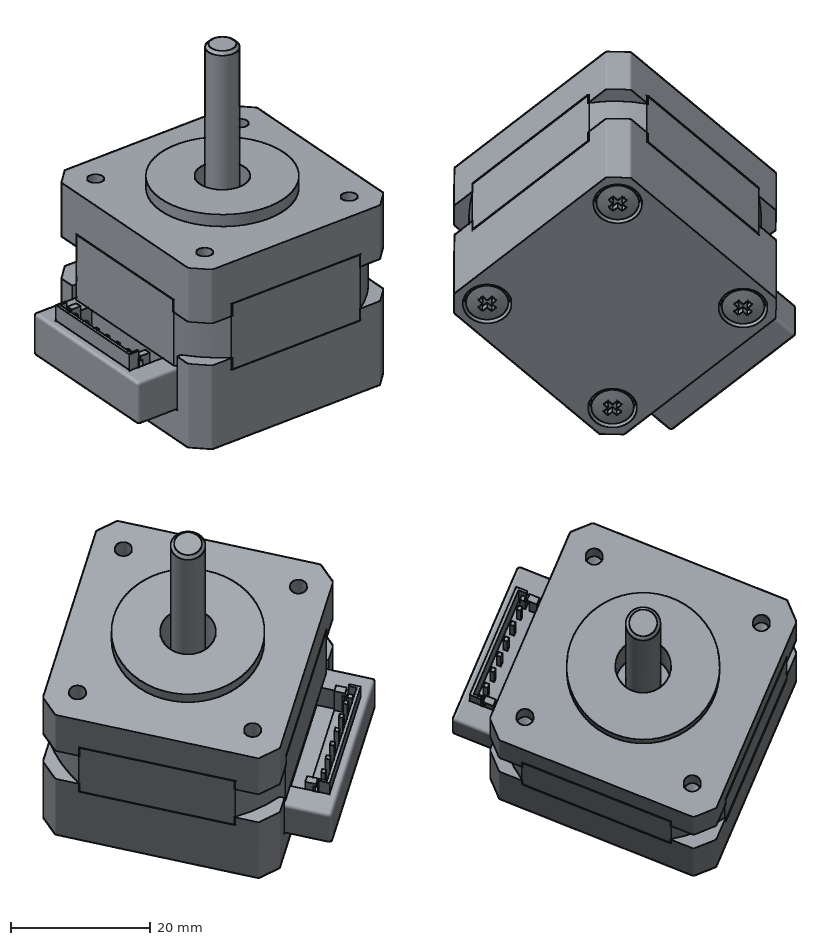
import cadquery as cq
import math


cap_side = 35.2
cap_corner_chamfer = 2.5
cap_edge_radius = 0.5
motor_length = 30.0
stator_side = 35.0
stator_diameter = 42.0
stator_bottom = 12.0
stator_top = 23.0
socket_depth = 2.0
rear_cap_top = stator_bottom + socket_depth
front_cap_bottom = stator_top - socket_depth

boss_diameter = 22.0
boss_height = 2.0
boss_bore = 8.0
boss_top = motor_length + boss_height
shaft_diameter = 5.0
shaft_chamfer = 0.5
shaft_top = 54.0

hole_spacing = 26.0
mounting_hole_diameter = 2.46
mounting_hole_depth = 4.0
drill_point_angle = 118.0
screw_diameter = 3.0
screw_clearance = 3.4
screw_end = 24.5
head_diameter = 6.1
counterbore_diameter = 7.0
counterbore_depth = 2.5
dome_radius = 14.0
head_protrusion = 0.04
cross_span = 2.75
cross_width = 0.9
cross_depth = 1.2

cap_face_y = -cap_side / 2
shroud_width = 25.0
shroud_depth = 7.0
shroud_height = 7.0
shroud_top = stator_bottom
shroud_bottom = shroud_top - shroud_height
shroud_edge_radius = 0.5
shroud_inset = 0.8
shroud_back_y = cap_face_y + shroud_inset

header_width = 17.5
header_back_y = cap_face_y - 2.1
header_front_y = cap_face_y - 5.75
header_bottom = 7.4
header_base_top = 8.8
header_top = 14.6
front_wall = 0.5
side_wall = 0.35
side_wall_back_y = cap_face_y - 4.05
pocket_side_gap = 0.15
ear_width = 1.05
ear_depth = 1.6
ear_top = 13.6
bridge_inset = 0.15
bridge_top = 13.3
ear_slot_width = 0.6
ear_slot_top = 12.8
slot_front_gap = 0.15
post_depth = 0.7
post_top = 12.65
pin_count = 6
pin_pitch = 2.5
pin_side = 0.64
pin_y = cap_face_y - 4.2
pin_top = 13.6


def box(x_range, y_range, z_range):
    """Axis-aligned box between the given limits."""
    size = [high - low for low, high in (x_range, y_range, z_range)]
    corner = (x_range[0], y_range[0], z_range[0])
    return cq.Workplane("XY").box(*size, centered=False).translate(corner)


def cylinder(diameter, bottom, top):
    """Cylinder on the motor axis."""
    return cq.Workplane("XY").workplane(offset=bottom).circle(diameter / 2).extrude(top - bottom)


def at_screws(body):
    """One copy of a body made on the motor axis at each of the four screw positions."""
    half = hole_spacing / 2
    return [body.translate((x, y, 0)) for x in (-half, half) for y in (-half, half)]


def cut_at_screws(body, tool):
    for copy in at_screws(tool):
        body = body.cut(copy)
    return body


def cap_block(bottom, top):
    """Square block with chamfered corners whose edges are rounded."""
    block = cq.Workplane("XY").workplane(offset=bottom).rect(cap_side, cap_side).extrude(top - bottom)
    block = block.edges("|Z").chamfer(cap_corner_chamfer)
    return block.edges("|Z").fillet(cap_edge_radius)


def make_front_cap():
    cap = cap_block(front_cap_bottom, motor_length)
    cap = cap.union(cylinder(boss_diameter, motor_length, boss_top))
    cap = cap.cut(cylinder(stator_diameter, front_cap_bottom, stator_top))
    cap = cap.cut(cylinder(boss_bore, stator_top, boss_top))
    hole_radius = mounting_hole_diameter / 2
    hole_bottom = motor_length - mounting_hole_depth
    hole_tip = hole_bottom - hole_radius / math.tan(math.radians(drill_point_angle / 2))
    hole = (
        cq.Workplane("XZ")
        .moveTo(0, motor_length)
        .lineTo(hole_radius, motor_length)
        .lineTo(hole_radius, hole_bottom)
        .lineTo(0, hole_tip)
        .close()
        .revolve(360, (0, 0, 0), (0, 1, 0))
    )
    cap = cut_at_screws(cap, hole)
    return cut_at_screws(cap, cylinder(screw_diameter, stator_top, screw_end))


def make_stator():
    height = stator_top - stator_bottom
    stator = cq.Workplane("XY").workplane(offset=stator_bottom).rect(stator_side, stator_side).extrude(height)
    stator = stator.intersect(cylinder(stator_diameter, stator_bottom, stator_top))
    stator = stator.cut(cylinder(shaft_diameter, stator_bottom, stator_top))
    return cut_at_screws(stator, cylinder(screw_clearance, stator_bottom, stator_top))


def make_rear_cap():
    cap = cap_block(0, rear_cap_top)
    cap = cap.cut(cylinder(stator_diameter, stator_bottom, rear_cap_top))
    notch_x = (-shroud_width / 2, shroud_width / 2)
    cap = cap.cut(box(notch_x, (cap_face_y, shroud_back_y), (shroud_bottom, rear_cap_top)))
    cap = cut_at_screws(cap, cylinder(screw_clearance, 0, stator_bottom))
    return cut_at_screws(cap, cylinder(counterbore_diameter, 0, counterbore_depth))


def make_shaft():
    return cylinder(shaft_diameter, stator_bottom, shaft_top).faces(">Z").chamfer(shaft_chamfer)


def make_screw():
    """Screw on the motor axis with a domed head and a cross recess, pointing up."""
    corner_radius = math.hypot(cross_width / 2, cross_width / 2)
    dome_center = math.sqrt(dome_radius**2 - corner_radius**2) - head_protrusion
    dome_bottom = dome_center - dome_radius
    head = cylinder(head_diameter, dome_bottom, counterbore_depth)
    head = head.intersect(cq.Workplane("XY").sphere(dome_radius).translate((0, 0, dome_center)))
    recess = cq.Workplane("XY").workplane(offset=dome_bottom).rect(cross_span, cross_width).extrude(cross_depth)
    head = head.cut(recess).cut(recess.rotate((0, 0, 0), (0, 0, 1), 90))
    return head.union(cylinder(screw_diameter, counterbore_depth, screw_end))


def make_shroud():
    front_y = cap_face_y - shroud_depth
    shroud_x = (-shroud_width / 2, shroud_width / 2)
    shroud = box(shroud_x, (front_y, shroud_back_y), (shroud_bottom, shroud_top))
    shroud = shroud.edges("not(>Y)").fillet(shroud_edge_radius)
    half_pocket = header_width / 2 + pocket_side_gap
    pocket_x = (-half_pocket, half_pocket)
    return shroud.cut(box(pocket_x, (header_front_y, shroud_back_y), (header_bottom, shroud_top)))


def make_header():
    half = header_width / 2
    header = box((-half, half), (header_front_y, header_back_y), (header_bottom, header_base_top))
    wall_z = (header_base_top, header_top)
    header = header.union(box((-half, half), (header_front_y, header_front_y + front_wall), wall_z))

    ear_x = (-half, -half + ear_width)
    ear_front_y = header_back_y - ear_depth
    wall = box((-half, -half + side_wall), (header_front_y, side_wall_back_y), wall_z)
    ear = box(ear_x, (ear_front_y, header_back_y), (header_base_top, ear_top))
    inner_x = (-half + bridge_inset, -half + ear_width)
    bridge = box(inner_x, (side_wall_back_y, ear_front_y), (header_base_top, bridge_top))
    post = box(inner_x, (side_wall_back_y - post_depth, side_wall_back_y), (header_base_top, post_top))
    end = wall.union(ear).union(bridge).union(post)
    slot_y = (side_wall_back_y + slot_front_gap, side_wall_back_y + slot_front_gap + ear_slot_width)
    end = end.cut(box(ear_x, slot_y, (header_base_top, ear_slot_top)))
    header = header.union(end).union(end.mirror("YZ"))

    for index in range(pin_count):
        pin_x = (index - (pin_count - 1) / 2) * pin_pitch
        pin = cq.Workplane("XY").rect(pin_side, pin_side).extrude(pin_top - header_base_top)
        header = header.union(pin.translate((pin_x, pin_y, header_base_top)))
    return header


front_cap = make_front_cap()
stator = make_stator()
rear_cap = make_rear_cap()
shaft = make_shaft()
screws = at_screws(make_screw())
shroud = make_shroud()
header = make_header()

result = cq.Compound.makeCompound(
    [
        front_cap.val(),
        stator.val(),
        rear_cap.val(),
        shaft.val(),
        *[screw.val() for screw in screws],
        shroud.val(),
        header.val(),
    ]
)